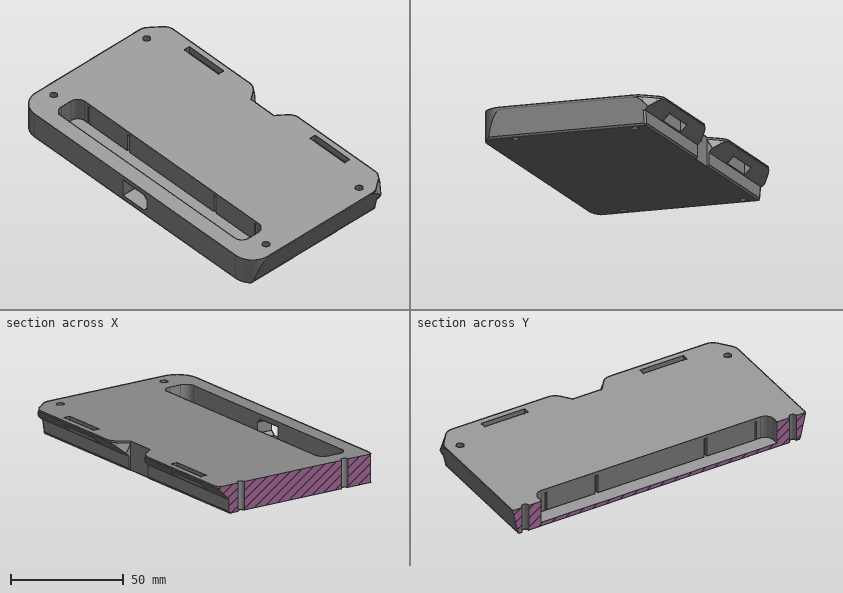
import cadquery as cq
import math

length = 151.4
width = 84.2
height = 13.5

half_length = length / 2
front_y = -width / 2
back_y = width / 2

rim = 0.9
side_draft = 2.5
foot_chamfer_height = 0.9
foot_chamfer_width = 0.6
front_corner_radius = 10.3
body_corner_chamfer = 0.9

lip_reach = 6.2
lip_edge = 0.8
body_back_y = back_y - lip_reach
lip_bottom_z = height - lip_edge - lip_reach

notch_half_width = 7.3
notch_depth = 7.1
notch_y = back_y - notch_depth
lobe_inner_x = 13.0
lobe_root_y = 15.1
bevel_x = 7.1
bevel_angle = 52.0
bevel_slope = math.tan(math.radians(bevel_angle))
bevel_y = bevel_x * bevel_slope
bevel_radius = 6.0
bevel_flare = 22.0

slot_length = 22.4
slot_width = 3.0
slot_x = 41.0
slot_y = 37.7

hole_diameter = 3.5
hole_x = 69.2
hole_front_y = -27.1
hole_back_y = 29.2

pocket_length = 121.7
pocket_front_y = -34.4
pocket_back_y = -20.0
pocket_radius = 4.2
pocket_depth = 11.4
pocket_floor_z = height - pocket_depth
pocket_centre_y = (pocket_front_y + pocket_back_y) / 2

grooves = [(28.2, 1.4), (54.2, 0.8)]
groove_depth = 1.5
groove_cover = 2.0

window_left = -7.9
window_right = 7.7
window_cover = 2.3
window_top_z = height - window_cover
window_chamfer = 2.0

tolerance = 0.08


def box_selector(y_start, y_end, z_start, z_end):
    """Pick what is centred in a Y and Z range, anywhere along the length."""
    return cq.selectors.BoxSelector(
        (-length, y_start - tolerance, z_start - tolerance),
        (length, y_end + tolerance, z_end + tolerance),
    )


def make_end_profile():
    """Front outline: upright rim, drafted ends and chamfered foot, extruded along Y."""
    foot_x = half_length - side_draft
    half = [
        (foot_x - foot_chamfer_width, 0),
        (foot_x, foot_chamfer_height),
        (half_length, height - rim),
        (half_length, height),
    ]
    mirrored = [(-x, z) for x, z in reversed(half)]
    return cq.Workplane("XZ").polyline(half + mirrored).close().extrude(width / 2, both=True)


def extrude_side_outline(points):
    """Extrude a (Y, Z) outline over the full length."""
    return cq.Workplane("YZ").polyline(points).close().extrude(half_length, both=True)


def make_body(envelope):
    """Main block with rounded front corners and a chamfered back wall."""
    block = extrude_side_outline([
        (front_y, 0),
        (body_back_y - foot_chamfer_width, 0),
        (body_back_y, foot_chamfer_height),
        (body_back_y, lip_bottom_z),
        (lobe_root_y, lip_bottom_z),
        (lobe_root_y, height),
        (front_y, height),
    ])
    plan = (
        cq.Workplane("XY")
        .rect(length, width)
        .extrude(height)
        .edges("|Z and <Y")
        .fillet(front_corner_radius)
    )
    body = block.intersect(envelope).intersect(plan)
    wall_corners = box_selector(body_back_y, body_back_y, foot_chamfer_height, lip_bottom_z)
    return body.edges(wall_corners).edges("not #Z").chamfer(body_corner_chamfer)


def make_lobe(envelope):
    """Left lobe: upright at the rim, flaring below it, cut by the sloping underside."""
    outline = (
        cq.Sketch()
        .polygon([
            (-half_length, lobe_root_y),
            (0, lobe_root_y),
            (0, notch_y),
            (-lobe_inner_x + notch_depth / bevel_slope, notch_y),
            (-lobe_inner_x, back_y),
            (-half_length + bevel_x, back_y),
            (-half_length, back_y - bevel_y),
            (-half_length, lobe_root_y),
        ])
        .vertices(box_selector(back_y - bevel_y, back_y - bevel_y, 0, 0))
        .fillet(bevel_radius)
        .reset()
        .vertices(">Y")
        .fillet(bevel_radius)
    )
    rim_plane = cq.Workplane("XY", origin=(0, 0, height - rim))
    upper = rim_plane.placeSketch(outline).extrude(rim)
    lower = rim_plane.placeSketch(outline).extrude(-(lip_reach + lip_edge), taper=-bevel_flare)
    wedge = extrude_side_outline([
        (lobe_root_y, height),
        (back_y, height),
        (back_y, height - lip_edge),
        (body_back_y, lip_bottom_z),
        (lobe_root_y, lip_bottom_z),
    ])
    return upper.union(lower).intersect(wedge).intersect(envelope)


def make_notch():
    """Central gap between the two lobes, running down the back wall."""
    return (
        cq.Workplane("XY")
        .center(0, back_y - notch_depth / 2)
        .rect(2 * notch_half_width, notch_depth)
        .extrude(height)
    )


def make_strap_slots():
    """One slot through each lobe."""
    return (
        cq.Workplane("XY")
        .pushPoints([(-slot_x, slot_y), (slot_x, slot_y)])
        .rect(slot_length, slot_width)
        .extrude(height)
    )


def make_screw_holes():
    """Four holes right through, near the corners."""
    centres = [(x, y) for x in (-hole_x, hole_x) for y in (hole_front_y, hole_back_y)]
    return cq.Workplane("XY").pushPoints(centres).circle(hole_diameter / 2).extrude(height)


def make_pocket():
    """Rounded pocket with its upright grooves."""
    pocket = (
        cq.Workplane("XY", origin=(0, pocket_centre_y, pocket_floor_z))
        .rect(pocket_length, pocket_back_y - pocket_front_y)
        .extrude(pocket_depth)
        .edges("|Z")
        .fillet(pocket_radius)
    )
    for distance, groove_width in grooves:
        pocket = pocket.union(
            cq.Workplane("XY", origin=(0, pocket_back_y, pocket_floor_z))
            .pushPoints([(-distance, 0), (distance, 0)])
            .rect(groove_width, 2 * groove_depth)
            .extrude(pocket_depth - groove_cover)
        )
    return pocket


def make_window():
    """Connector opening, flush with the pocket floor and chamfered on its right side."""
    return (
        cq.Workplane("XZ", origin=(0, front_y, 0))
        .moveTo(window_left, pocket_floor_z)
        .lineTo(window_right - window_chamfer, pocket_floor_z)
        .lineTo(window_right, pocket_floor_z + window_chamfer)
        .lineTo(window_right, window_top_z - window_chamfer)
        .lineTo(window_right - window_chamfer, window_top_z)
        .lineTo(window_left, window_top_z)
        .close()
        .extrude(front_y - pocket_centre_y)
    )


envelope = make_end_profile()
left_lobe = make_lobe(envelope)
right_lobe = left_lobe.mirror("YZ")

result = (
    make_body(envelope)
    .union(left_lobe)
    .union(right_lobe)
    .cut(make_notch())
    .cut(make_strap_slots())
    .cut(make_screw_holes())
    .cut(make_pocket())
    .cut(make_window())
)